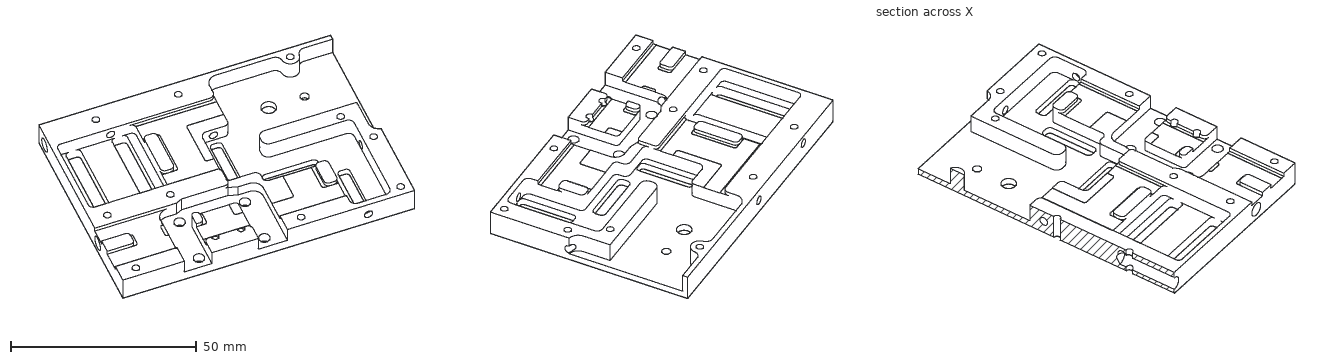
import cadquery as cq
import math

LENGTH_X = 60.0
LENGTH_Y = 85.0
HEIGHT = 7.5

SHELF_Z = 6.4
SEAT_Z = 6.3
CHANNEL_Z = 3.1
DEEP_Z = 2.0

LEFT_WALL = 1.5
BAY_LEFT, BAY_RIGHT = 8.6, 32.9
BAR_TOP = 39.5
BAR_RIGHT = 39.1
LANE_LEFT, LANE_RIGHT = 39.95, 54.7
STEP_Y = 47.9
LANE_REAR = 67.3
LAND_LEFT, LAND_RIGHT = 44.9, 48.9
BAY_LAND_LEFT, BAY_LAND_RIGHT = 14.45, 28.1
NOTCH_LEFT, NOTCH_RIGHT = 18.45, 36.9
DEEP_RIGHT = 40.9
SEAT_GAP = 0.9

CLEAR_RADIUS = 0.7
SLOT_RADIUS = 1.0
LAND_RADIUS = 1.3
POCKET_RADIUS = 1.7
CUTTER_RADIUS = 2.0
WIDE_RADIUS = 3.0

SCREW_DIA = 2.0
CHANNEL_HOLE_DIA = 3.1
SIDE_HOLE_DIA = 2.4
FRONT_HOLE_DIA = 4.0
DRILL_TIP_ANGLE = 118.0

OVERRUN = 4.25


def prism(points, bottom, top):
    return cq.Workplane("XY", origin=(0, 0, bottom)).polyline(points).close().extrude(top - bottom)


def block(x0, x1, y0, y1, bottom, top, radius=0.0):
    """Box between the given limits, its vertical edges rounded."""
    body = prism([(x0, y0), (x1, y0), (x1, y1), (x0, y1)], bottom, top)
    return body.edges("|Z").fillet(radius) if radius else body


def round_corners(body, corners, radius):
    """Fillet the vertical edges that stand at the listed (x, y) corners."""
    reach = 0.04
    for x, y in corners:
        low = (x - reach, y - reach, -OVERRUN)
        high = (x + reach, y + reach, HEIGHT + OVERRUN)
        body = body.edges("|Z").edges(cq.selectors.BoxSelector(low, high)).fillet(radius)
    return body


def drilled(diameter, depth, downward, centre):
    """Blind drill shape with a conical tip, running down from its centre or toward +Y."""
    tip = diameter / 2 / math.tan(math.radians(DRILL_TIP_ANGLE / 2))
    profile = [(0, 0), (diameter / 2, 0), (diameter / 2, depth), (0, depth + tip)]
    body = cq.Workplane("XY").polyline(profile).close().revolve(360, (0, 0, 0), (0, 1, 0))
    if downward:
        body = body.rotate((0, 0, 0), (1, 0, 0), -90)
    return body.translate(centre)


BAY_FRONT = 12.75
WAIST_FRONT, WAIST_REAR = 25.7, 39.1
SHOULDER_FRONT, SHOULDER_REAR = 23.8, 41.65
INNER_X, INNER_Y = 34.0, 51.0
RIM_END = 5.95


def ledge():
    outline = [
        (BAY_LEFT, BAY_FRONT), (BAY_RIGHT, BAY_FRONT), (BAY_RIGHT, BAR_TOP), (BAR_RIGHT, BAR_TOP),
        (BAR_RIGHT, WAIST_FRONT), (LANE_LEFT, SHOULDER_FRONT), (LANE_LEFT, -OVERRUN),
        (LANE_RIGHT, -OVERRUN), (LANE_RIGHT, LANE_REAR), (INNER_X, LANE_REAR), (INNER_X, INNER_Y),
        (RIM_END, INNER_Y), (RIM_END, STEP_Y), (BAY_LEFT, STEP_Y),
    ]
    body = prism(outline, SHELF_Z, HEIGHT + OVERRUN)
    body = round_corners(body, [(BAY_RIGHT, BAR_TOP), (BAR_RIGHT, BAR_TOP)], SLOT_RADIUS)
    return round_corners(body, [(BAY_LEFT, STEP_Y)], POCKET_RADIUS)


LAND_FRONT = (-OVERRUN, 8.0)
LAND_ISLAND = (17.9, 28.2)
LAND_REAR = (63.6, LANE_REAR)
BAY_FRONT_EDGE = 24.4
LAND_BAY = (BAY_FRONT_EDGE, 28.2)
CLEAR_FRONT = 37.1
CLEAR_REAR = 54.4


def lands():
    top = HEIGHT
    body = block(LAND_LEFT, LAND_RIGHT, *LAND_FRONT, SEAT_Z, top, SLOT_RADIUS)
    body = body.union(block(LAND_LEFT, LAND_RIGHT, *LAND_ISLAND, SEAT_Z, top, LAND_RADIUS))
    body = body.union(block(DEEP_RIGHT, LAND_RIGHT, *LAND_REAR, SEAT_Z, top, LAND_RADIUS))
    body = body.union(block(BAY_LAND_LEFT, BAY_LAND_RIGHT, *LAND_BAY, SEAT_Z, top, LAND_RADIUS))
    return body.intersect(block(0, LENGTH_X, 0, LENGTH_Y, 0, HEIGHT))


def board_seats():
    seats = block(BAY_LEFT + SEAT_GAP, BAY_RIGHT - SEAT_GAP, BAY_FRONT, STEP_Y, SEAT_Z, SHELF_Z)
    seats = seats.union(block(LANE_LEFT, LANE_RIGHT - SEAT_GAP, -OVERRUN, LANE_REAR, SEAT_Z, SHELF_Z))
    clear_areas = [
        (BAY_LAND_LEFT, BAY_LAND_RIGHT, LAND_BAY[0] - OVERRUN, LAND_BAY[1] + SEAT_GAP),
        (BAY_LAND_LEFT, BAY_LAND_RIGHT, CLEAR_FRONT, STEP_Y + OVERRUN),
        (LAND_LEFT, LAND_RIGHT, LAND_FRONT[0], LAND_FRONT[1] + SEAT_GAP),
        (LAND_LEFT, LAND_RIGHT, LAND_ISLAND[0] - SEAT_GAP, LAND_ISLAND[1] + SEAT_GAP),
        (NOTCH_RIGHT, LAND_RIGHT, CLEAR_FRONT, CLEAR_REAR),
        (DEEP_RIGHT - OVERRUN, LAND_RIGHT, LAND_REAR[0] - SEAT_GAP, LAND_REAR[1] + OVERRUN),
    ]
    for area in clear_areas:
        seats = seats.cut(block(*area, SEAT_Z, SHELF_Z, CLEAR_RADIUS))
    return seats


POST_LEFT, POST_RIGHT = 24.9, 29.8
POST_FRONT, POST_REAR = 53.5, 82.45
ARM_REAR, ARM_RIGHT = 79.05, 58.4
NECK_Y = 49.05
REAR_RIM_X = 36.0
PIN_BOSS = (3.1, 72.0)
PIN_BOSS_RADIUS = 2.55


def rear_pocket():
    top = HEIGHT + OVERRUN
    rear = LENGTH_Y + OVERRUN
    outline = [
        (LEFT_WALL, rear), (LEFT_WALL, STEP_Y), (NOTCH_LEFT, STEP_Y), (NOTCH_LEFT, BAR_TOP),
        (NOTCH_RIGHT, BAR_TOP), (NOTCH_RIGHT, NECK_Y), (DEEP_RIGHT, NECK_Y), (DEEP_RIGHT, LANE_REAR),
        (ARM_RIGHT, LANE_REAR), (ARM_RIGHT, ARM_REAR), (POST_RIGHT, ARM_REAR), (POST_RIGHT, POST_FRONT),
        (POST_LEFT, POST_FRONT), (POST_LEFT, POST_REAR), (REAR_RIM_X, POST_REAR), (REAR_RIM_X, rear),
    ]
    body = prism(outline, DEEP_Z, top)
    tight = [(NOTCH_LEFT, STEP_Y), (NOTCH_RIGHT, BAR_TOP), (DEEP_RIGHT, NECK_Y), (DEEP_RIGHT, LANE_REAR)]
    body = round_corners(body, tight, LAND_RADIUS)
    medium = [
        (NOTCH_LEFT, BAR_TOP), (NOTCH_RIGHT, NECK_Y), (ARM_RIGHT, LANE_REAR), (ARM_RIGHT, ARM_REAR),
        (POST_RIGHT, ARM_REAR),
    ]
    body = round_corners(body, medium, POCKET_RADIUS)
    body = round_corners(body, [(POST_RIGHT, POST_FRONT), (POST_LEFT, POST_FRONT)], CUTTER_RADIUS)
    body = round_corners(body, [(REAR_RIM_X, POST_REAR), (LEFT_WALL, STEP_Y)], WIDE_RADIUS)

    boss = cq.Workplane("XY", origin=(*PIN_BOSS, DEEP_Z)).circle(PIN_BOSS_RADIUS).extrude(top - DEEP_Z)
    half_chord = math.sqrt(PIN_BOSS_RADIUS**2 - (PIN_BOSS[0] - LEFT_WALL) ** 2)
    ends = [(LEFT_WALL, PIN_BOSS[1] + side * half_chord) for side in (-1, 1)]
    return round_corners(body.cut(boss), ends, CUTTER_RADIUS)


CHANNEL_FRONT = 17.9
ISLAND_FRONT, ISLAND_REAR = 25.9, BAR_TOP


def u_channel():
    top = HEIGHT + OVERRUN
    right = LENGTH_X + OVERRUN
    outline = [
        (right, CHANNEL_FRONT), (LANE_LEFT, CHANNEL_FRONT), (LANE_LEFT, SHOULDER_FRONT),
        (BAR_RIGHT, WAIST_FRONT), (BAR_RIGHT, WAIST_REAR), (LANE_LEFT, SHOULDER_REAR),
        (LANE_LEFT, STEP_Y), (right, STEP_Y),
    ]
    body = prism(outline, CHANNEL_Z, top)
    body = round_corners(body, [(LANE_LEFT, CHANNEL_FRONT), (LANE_LEFT, STEP_Y)], WIDE_RADIUS)
    island = block(LAND_LEFT, right, ISLAND_FRONT, ISLAND_REAR, CHANNEL_Z, top)
    island = round_corners(island, [(LAND_LEFT, ISLAND_FRONT), (LAND_LEFT, ISLAND_REAR)], SLOT_RADIUS)
    body = body.cut(island)

    rim = block(LANE_RIGHT, right, ISLAND_FRONT, ISLAND_REAR, SHELF_Z, top)
    rounded = round_corners(rim, [(LANE_RIGHT, ISLAND_FRONT), (LANE_RIGHT, ISLAND_REAR)], LAND_RADIUS)
    return body.union(rim.cut(rounded))


FRONT_POCKET_EDGE = 1.5
SLOTS = [
    (BAY_LEFT, BAY_RIGHT, 4.1, 8.4),
    (BAY_LEFT, BAY_RIGHT, 17.5, 21.9),
    (19.8, 36.6, 41.6, 45.0),
    (41.6, ARM_RIGHT, 69.9, 73.3),
]
UPRIGHT_SLOT = (35.1, 38.85, 50.3, 66.55)


def front_pocket():
    return block(BAY_LEFT, BAY_RIGHT, FRONT_POCKET_EDGE, BAY_FRONT_EDGE, CHANNEL_Z, HEIGHT + OVERRUN, LAND_RADIUS)


def through_slots():
    body = block(*UPRIGHT_SLOT, -OVERRUN, CHANNEL_Z, LAND_RADIUS)
    for slot in SLOTS:
        body = body.union(block(*slot, -OVERRUN, CHANNEL_Z, SLOT_RADIUS))
    return body


SCREW_HOLES = [
    (4.1, 15.0), (4.1, 38.9), PIN_BOSS, (28.0, 76.5), (38.0, 82.0), (57.3, 82.0),
    (57.3, 53.0), (57.3, 4.9), (36.9, 4.9), (36.5, 23.5),
]
CHANNEL_HOLES = [(x, y) for x in (43.0, 56.9) for y in (23.5, 42.5)]
REAR_FLOOR_HOLES = [((13.3, 72.0), 2.5), ((13.3, 61.5), 4.2)]
ISLAND_HOLES = [(55.0, 29.0), (55.0, 36.5)]
ISLAND_HOLE_DEPTH = 2.55
FRONT_HOLE_XS = (4.1, 42.0)
FRONT_HOLE_Z = 3.5
FRONT_HOLE_DEPTH = 18.0
NOTCH_HOLE = (43.35, 4.0)
POCKET_HOLE = (17.4, 5.1)
ARM_SIDE_HOLE = (71.6, 3.5)
ARM_REAR_HOLE = (36.1, 3.5)


def vertical_holes(points, diameter):
    plane = cq.Workplane("XY", origin=(0, 0, -OVERRUN))
    return plane.pushPoints(points).circle(diameter / 2).extrude(HEIGHT + 2 * OVERRUN)


def hole_along_x(centre, x0, x1):
    plane = cq.Workplane("YZ", origin=(x0, 0, 0))
    return plane.center(*centre).circle(SIDE_HOLE_DIA / 2).extrude(x1 - x0)


def hole_along_y(centre, y0, y1):
    plane = cq.Workplane("XZ", origin=(0, y1, 0))
    return plane.center(*centre).circle(SIDE_HOLE_DIA / 2).extrude(y1 - y0)


result = block(0, LENGTH_X, 0, LENGTH_Y, 0, HEIGHT)
result = result.cut(rear_pocket()).cut(ledge()).cut(board_seats()).union(lands())
result = result.cut(u_channel()).cut(front_pocket()).cut(through_slots())

result = result.cut(vertical_holes(SCREW_HOLES, SCREW_DIA))
result = result.cut(vertical_holes(CHANNEL_HOLES, CHANNEL_HOLE_DIA))
for point, diameter in REAR_FLOOR_HOLES:
    result = result.cut(vertical_holes([point], diameter))
for x, y in ISLAND_HOLES:
    result = result.cut(drilled(SCREW_DIA, ISLAND_HOLE_DEPTH, True, (x, y, HEIGHT)))
for x in FRONT_HOLE_XS:
    result = result.cut(drilled(FRONT_HOLE_DIA, FRONT_HOLE_DEPTH, False, (x, 0, FRONT_HOLE_Z)))

result = result.cut(hole_along_x(NOTCH_HOLE, 0, NOTCH_LEFT + LAND_RADIUS))
result = result.cut(hole_along_x(POCKET_HOLE, 0, BAY_LEFT + LAND_RADIUS))
result = result.cut(hole_along_x(ARM_SIDE_HOLE, ARM_RIGHT - LAND_RADIUS, LENGTH_X))
result = result.cut(hole_along_y(ARM_REAR_HOLE, ARM_REAR - LAND_RADIUS, LENGTH_Y))